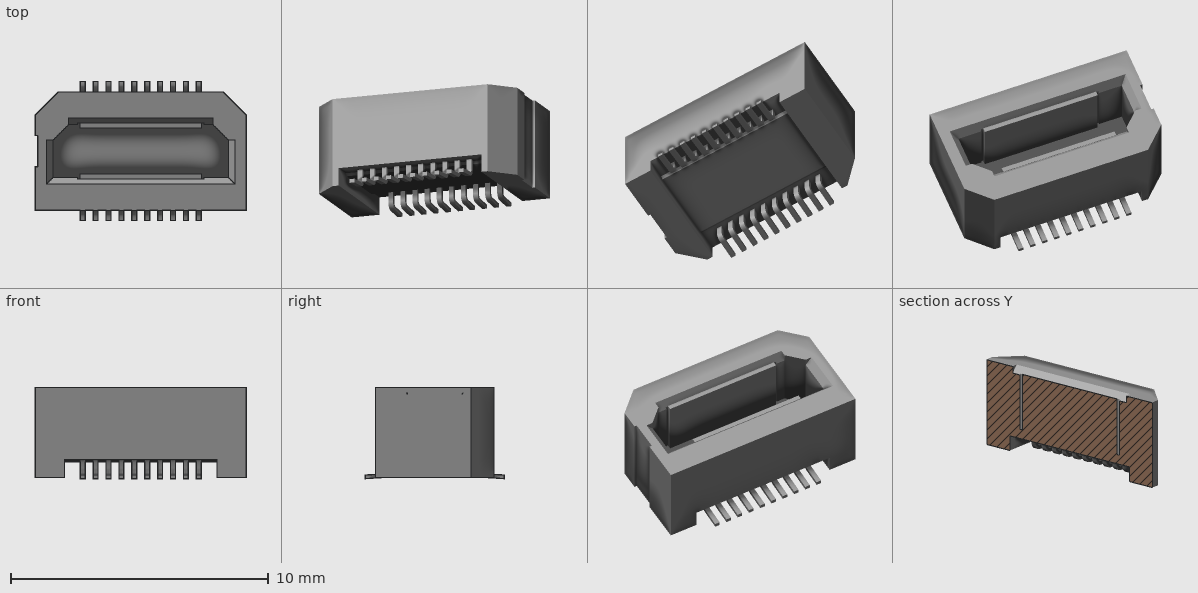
import cadquery as cq
import math


body_length = 8.2
body_width = 4.6
body_height = 3.5
body_chamfer = 0.9

notch_width = 1.2
notch_depth = 0.1

cavity_length = 6.8
cavity_width = 2.05
cavity_chamfer = 0.6
cavity_floor = 1.0

mouth_run = 0.26
mouth_depth = 0.3

lead_count = 10
lead_pitch = 0.5
lead_width = 0.2
lead_thickness = 0.15
lead_tip_y = 2.7
lead_tip_bottom = -0.05
stem_outer_y = 1.8
foot_angle = 3.8
bend_radius = 0.13
lead_top = 0.9

row_length = (lead_count - 1) * lead_pitch + lead_width
recess_clearance = 0.1
recess_depth = 0.055
bar_thickness = 0.18
bar_top_drop = 0.22

channel_length = 5.9
channel_height = 0.7
keel_drop = 0.1
keel_width = 2.8


def keyed_outline(length, width, chamfer, height):
    """Block on Z = 0 with its two +Y corners chamfered."""
    block = cq.Workplane("XY").box(length, width, height, centered=(True, True, False))
    return block.edges("|Z and >Y").chamfer(chamfer)


def make_mouth():
    """Lead-in: mitred at the -Y corners, square-ended beside the chamfered corners."""
    half_length = cavity_length / 2
    half_width = cavity_width / 2
    mouth_bottom = body_height - mouth_depth
    mouth_length = cavity_length + 2 * mouth_run
    side_end = half_width - cavity_chamfer
    back_length = cavity_length - 2 * cavity_chamfer

    def flare(plane, half_size, extent):
        return (
            cq.Workplane(plane)
            .moveTo(-half_size, mouth_bottom)
            .lineTo(half_size, mouth_bottom)
            .lineTo(half_size + mouth_run, body_height)
            .lineTo(-half_size - mouth_run, body_height)
            .close()
            .extrude(extent / 2, both=True)
        )

    side_region = (
        cq.Workplane("XY")
        .box(mouth_length, cavity_width, body_height, centered=(True, False, False))
        .translate((0, side_end - cavity_width, 0))
    )
    ends = flare("XZ", half_length, 2 * body_width).intersect(side_region)
    ends = ends.intersect(flare("YZ", half_width, mouth_length))
    return ends.union(flare("YZ", half_width, back_length))


def make_cavity():
    depth = body_height - cavity_floor
    pocket = keyed_outline(cavity_length, cavity_width, cavity_chamfer, depth)
    recess = cq.Workplane("XY").box(
        row_length + 2 * recess_clearance,
        cavity_width + 2 * recess_depth,
        depth,
        centered=(True, True, False),
    )
    return pocket.union(recess).translate((0, 0, cavity_floor)).union(make_mouth())


def make_channel():
    """Channel open at both long sides; its roof steps down to the keel at 45 degrees."""
    half_width = body_width / 2
    half_keel = keel_width / 2
    keel_bottom = channel_height - keel_drop
    return (
        cq.Workplane("YZ")
        .moveTo(-half_width, 0)
        .lineTo(half_width, 0)
        .lineTo(half_width, channel_height)
        .lineTo(half_keel + keel_drop, channel_height)
        .lineTo(half_keel, keel_bottom)
        .lineTo(-half_keel, keel_bottom)
        .lineTo(-half_keel - keel_drop, channel_height)
        .lineTo(-half_width, channel_height)
        .close()
        .extrude(channel_length / 2, both=True)
    )


def make_housing():
    notch = cq.Workplane("XY").box(
        2 * notch_depth, notch_width, body_height, centered=(True, True, False)
    )
    housing = keyed_outline(body_length, body_width, body_chamfer, body_height)
    housing = housing.cut(notch.translate((-body_length / 2, 0, 0)))
    return housing.cut(make_cavity()).cut(make_channel())


def make_contact_bar():
    """Bar along the +Y cavity wall, set into the recess."""
    bar_height = body_height - bar_top_drop - cavity_floor
    wall_y = cavity_width / 2 + recess_depth
    bar = cq.Workplane("XY").box(
        row_length, bar_thickness, bar_height, centered=(True, False, False)
    )
    return bar.translate((0, wall_y - bar_thickness, cavity_floor))


def make_lead():
    """Lead on the +Y side: stem, round bend and a foot falling towards its tip."""
    tip_top = lead_tip_bottom + lead_thickness
    stem_inner_y = stem_outer_y - lead_thickness
    foot_slope = math.tan(math.radians(foot_angle))
    outer_corner_z = tip_top + (lead_tip_y - stem_outer_y) * foot_slope
    inner_corner_z = lead_tip_bottom + (lead_tip_y - stem_inner_y) * foot_slope
    lead = (
        cq.Workplane("YZ")
        .moveTo(lead_tip_y, lead_tip_bottom)
        .lineTo(lead_tip_y, tip_top)
        .lineTo(stem_outer_y, outer_corner_z)
        .lineTo(stem_outer_y, lead_top)
        .lineTo(stem_inner_y, lead_top)
        .lineTo(stem_inner_y, inner_corner_z)
        .close()
        .extrude(lead_width / 2, both=True)
    )
    bends = (
        (stem_outer_y, outer_corner_z, bend_radius),
        (stem_inner_y, inner_corner_z, bend_radius + lead_thickness),
    )
    for corner_y, corner_z, radius in bends:
        corner = cq.selectors.NearestToPointSelector((0, corner_y, corner_z))
        lead = lead.edges("|X").edges(corner).fillet(radius)
    return lead


def both_rows(item):
    return item.union(item.mirror("XZ"))


result = make_housing().union(both_rows(make_contact_bar()))

lead_pair = both_rows(make_lead())
for index in range(lead_count):
    lead_x = (index - (lead_count - 1) / 2) * lead_pitch
    result = result.union(lead_pair.translate((lead_x, 0, 0)))